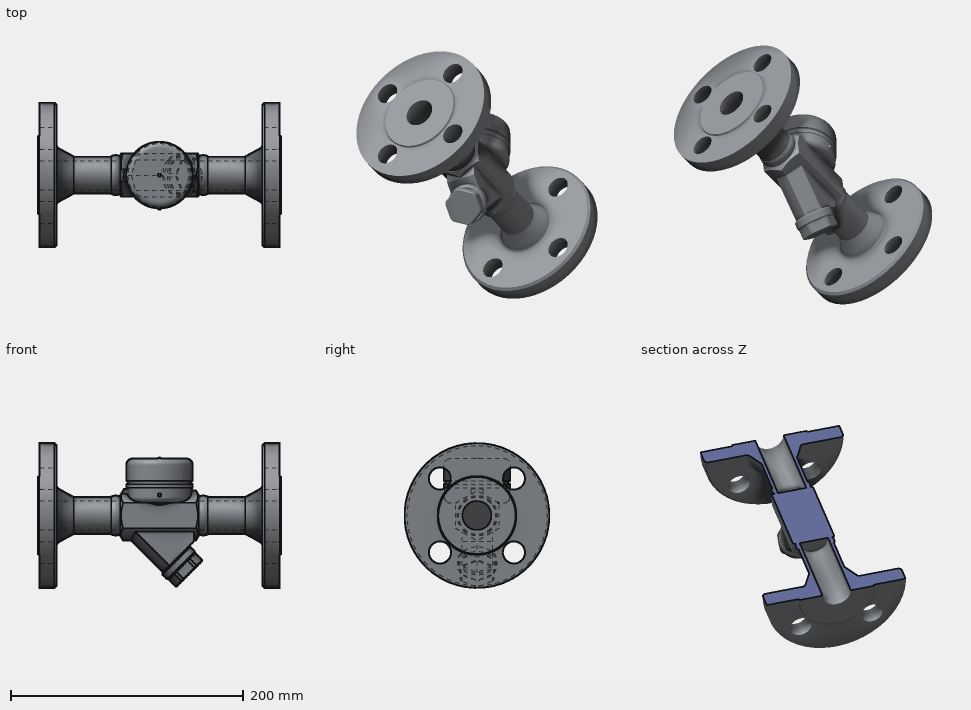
import cadquery as cq
import math

OVERALL_LENGTH = 210.0
FLANGE_DIA = 125.0
RAISED_FACE_DIA = 66.4
RAISED_FACE_BASE_DIA = 68.0
RAISED_FACE_HEIGHT = 1.5
FLANGE_BACK_X = 88.5
FLANGE_CHAMFER = 2.0
NECK_BASE_DIA = 47.9
NECK_END_X = 73.7
NECK_FILLET = 3.0
PIPE_DIA = 32.0
BORE_DIA = 25.0
BOLT_HOLE_DIA = 19.0
BOLT_CIRCLE_DIA = 90.0
BOLT_COUNT = 4

BEAD_DIA = 34.6
BEAD_LENGTH = 7.4
BEAD_EDGE_DIA = 32.8

BLOCK_END_X = 34.0
BLOCK_WIDTH = 37.4
BLOCK_CORNER_RADIUS = BLOCK_WIDTH / math.sqrt(3)
BLOCK_FACE_RADIUS = 17.0
CHAMFER_ANGLE = 60.0

LUG_WIDTH = 10.3
LUG_TOP_Z = 22.9
LUG_FILLET = 2.5

COVER_DIA = 57.5
SEAT_DIA = 56.0
STEM_DIA = 36.5
COVER_TOP_Z = 49.1
COVER_TOP_FILLET = 5.7
GROOVE_TOP_Z = 29.8
GROOVE_BOTTOM_Z = 27.0
GROOVE_DEPTH = 1.5
RING_BOTTOM_Z = 23.7
SEAT_BOTTOM_Z = 11.0
SEAT_FILLET = 5.0
STEM_FILLET = 3.8
NUB_DIA = 3.0
TOP_NUB_Z = 48.5
FRONT_NUB_Y = -28.5
FRONT_NUB_Z = 17.6

LEG_ANGLE = 45.0
LEG_AXIS_OFFSET = 17.2
LEG_HALF_WIDTH = 13.2
LEG_SHOULDER = 7.4
LEG_RIDGE = 15.3
LEG_START = -8.5
LEG_END = 36.8
LEG_SIDE_X = 29.6
LEG_TOP_Z = -6.3

COLLAR_DIA = 34.0
COLLAR_LENGTH = 7.8
COLLAR_CHAMFER = 1.0
PLUG_HEX_WIDTH = 29.5
PLUG_HEX_TURNED_DIA = 32.3
PLUG_HEX_LENGTH = 9.2
PLUG_HEX_CHAMFER = 0.6


def make_flanged_pipe():
    """Flange, welding neck, pipe and weld bead on the -X side, with a blind bore."""
    face_x = -OVERALL_LENGTH / 2
    flange_x = face_x + RAISED_FACE_HEIGHT
    back_x = -FLANGE_BACK_X
    bead_end_x = -BLOCK_END_X
    bead_start_x = bead_end_x - BEAD_LENGTH
    flange_r = FLANGE_DIA / 2
    pipe_r = PIPE_DIA / 2

    pipe = (
        cq.Workplane("XY")
        .moveTo(face_x, 0)
        .lineTo(face_x, RAISED_FACE_DIA / 2)
        .lineTo(flange_x, RAISED_FACE_BASE_DIA / 2)
        .lineTo(flange_x, flange_r)
        .lineTo(back_x - FLANGE_CHAMFER, flange_r)
        .lineTo(back_x, flange_r - FLANGE_CHAMFER)
        .lineTo(back_x, NECK_BASE_DIA / 2)
        .lineTo(-NECK_END_X, pipe_r)
        .lineTo(bead_start_x, pipe_r)
        .lineTo(bead_start_x, BEAD_EDGE_DIA / 2)
        .threePointArc(
            (bead_end_x - BEAD_LENGTH / 2, BEAD_DIA / 2),
            (bead_end_x, BEAD_EDGE_DIA / 2),
        )
        .lineTo(bead_end_x, 0)
        .close()
        .revolve(360, (0, 0, 0), (1, 0, 0))
    )
    pipe = (
        pipe.faces(cq.selectors.NearestToPointSelector((back_x, 0, 0)))
        .edges(cq.selectors.RadiusNthSelector(0))
        .fillet(NECK_FILLET)
    )

    bore = (
        cq.Workplane("YZ", origin=(face_x, 0, 0))
        .circle(BORE_DIA / 2)
        .extrude(bead_end_x - face_x)
    )
    bolt_holes = (
        cq.Workplane("YZ", origin=(face_x, 0, 0))
        .polarArray(BOLT_CIRCLE_DIA / 2, 180 / BOLT_COUNT, 360, BOLT_COUNT)
        .circle(BOLT_HOLE_DIA / 2)
        .extrude(back_x - face_x)
    )
    return pipe.cut(bore).cut(bolt_holes)


def make_hexagon(plane, width, length):
    """Hexagonal bar, width across flats, with one corner on the local X axis of its plane."""
    corner_radius = width / math.sqrt(3)
    corners = [
        (
            corner_radius * math.cos(math.radians(60 * corner)),
            corner_radius * math.sin(math.radians(60 * corner)),
        )
        for corner in range(6)
    ]
    return cq.Workplane(plane).polyline(corners).close().extrude(length)


def make_block():
    """Hexagonal block with its lug, both trimmed by the conical end chamfers."""
    end_plane = cq.Plane(origin=(-BLOCK_END_X, 0, 0), xDir=(0, 0, 1), normal=(1, 0, 0))
    hexagon = make_hexagon(end_plane, BLOCK_WIDTH, 2 * BLOCK_END_X)
    lug = (
        cq.Workplane("XY", origin=(-BLOCK_END_X, 0, 0))
        .box(BLOCK_END_X, LUG_WIDTH, LUG_TOP_Z, centered=(False, True, False))
    )

    trim_radius = LUG_TOP_Z + LUG_WIDTH
    cone_length = (trim_radius - BLOCK_FACE_RADIUS) / math.tan(math.radians(CHAMFER_ANGLE))
    trim = (
        cq.Workplane("XY")
        .polyline(
            [
                (-BLOCK_END_X, 0),
                (-BLOCK_END_X, BLOCK_FACE_RADIUS),
                (-BLOCK_END_X + cone_length, trim_radius),
                (BLOCK_END_X - cone_length, trim_radius),
                (BLOCK_END_X, BLOCK_FACE_RADIUS),
                (BLOCK_END_X, 0),
            ]
        )
        .close()
        .revolve(360, (0, 0, 0), (1, 0, 0))
    )
    return hexagon.union(lug).intersect(trim)


def make_cover():
    """Round cover on its seat and stem, with a small round nub on the top and one at the front."""
    cover_r = COVER_DIA / 2
    seat_r = SEAT_DIA / 2
    stem_r = STEM_DIA / 2
    diagonal = math.sqrt(0.5)
    seat_arc_centre = (seat_r - SEAT_FILLET, SEAT_BOTTOM_Z + SEAT_FILLET)
    stem_arc_centre = (stem_r + STEM_FILLET, SEAT_BOTTOM_Z - STEM_FILLET)
    top_arc_centre = (cover_r - COVER_TOP_FILLET, COVER_TOP_Z - COVER_TOP_FILLET)
    groove_middle_z = (GROOVE_TOP_Z + GROOVE_BOTTOM_Z) / 2

    cover = (
        cq.Workplane("XZ")
        .moveTo(0, 0)
        .lineTo(stem_r, 0)
        .lineTo(stem_r, stem_arc_centre[1])
        .threePointArc(
            (
                stem_arc_centre[0] - STEM_FILLET * diagonal,
                stem_arc_centre[1] + STEM_FILLET * diagonal,
            ),
            (stem_arc_centre[0], SEAT_BOTTOM_Z),
        )
        .lineTo(seat_arc_centre[0], SEAT_BOTTOM_Z)
        .threePointArc(
            (
                seat_arc_centre[0] + SEAT_FILLET * diagonal,
                seat_arc_centre[1] - SEAT_FILLET * diagonal,
            ),
            (seat_r, seat_arc_centre[1]),
        )
        .lineTo(seat_r, RING_BOTTOM_Z)
        .lineTo(cover_r, RING_BOTTOM_Z)
        .lineTo(cover_r, GROOVE_BOTTOM_Z)
        .threePointArc((cover_r - GROOVE_DEPTH, groove_middle_z), (cover_r, GROOVE_TOP_Z))
        .lineTo(cover_r, top_arc_centre[1])
        .threePointArc(
            (
                top_arc_centre[0] + COVER_TOP_FILLET * diagonal,
                top_arc_centre[1] + COVER_TOP_FILLET * diagonal,
            ),
            (top_arc_centre[0], COVER_TOP_Z),
        )
        .lineTo(0, COVER_TOP_Z)
        .close()
        .revolve(360, (0, 0, 0), (0, 1, 0))
    )
    top_nub = cq.Workplane("XY", origin=(0, 0, TOP_NUB_Z)).sphere(NUB_DIA / 2)
    front_nub = cq.Workplane("XY", origin=(0, FRONT_NUB_Y, FRONT_NUB_Z)).sphere(NUB_DIA / 2)
    return cover.union(top_nub).union(front_nub)


def leg_plane(distance):
    """Plane across the leg axis: local X points to the underside of the leg, local Z along it."""
    slope = math.radians(LEG_ANGLE)
    along = (math.cos(slope), 0, -math.sin(slope))
    under = (-math.sin(slope), 0, -math.cos(slope))
    origin = tuple(LEG_AXIS_OFFSET * u + distance * a for u, a in zip(under, along))
    return cq.Plane(origin=origin, xDir=under, normal=along)


def make_leg():
    """Sloping leg with a ridged underside, cut off upright on the +X side."""
    top_reach = 2 * LEG_END
    sloped = (
        cq.Workplane(leg_plane(LEG_START))
        .polyline(
            [
                (-top_reach, -LEG_HALF_WIDTH),
                (LEG_SHOULDER, -LEG_HALF_WIDTH),
                (LEG_RIDGE, 0),
                (LEG_SHOULDER, LEG_HALF_WIDTH),
                (-top_reach, LEG_HALF_WIDTH),
            ]
        )
        .close()
        .extrude(LEG_END - LEG_START)
    )
    reach = OVERALL_LENGTH / 2
    limits = cq.Workplane("XY").box(reach, reach, reach, centered=(False, True, False))
    return sloped.intersect(limits.translate((LEG_SIDE_X - reach, 0, LEG_TOP_Z - reach)))


def fillet_lug(housing):
    """Round the two upright corners where the lug meets the seat."""
    half_width = LUG_WIDTH / 2
    corner_x = -math.sqrt((SEAT_DIA / 2) ** 2 - half_width**2)
    lug_foot_z = BLOCK_CORNER_RADIUS - half_width * math.tan(math.radians(30))
    corner_z = (lug_foot_z + LUG_TOP_Z) / 2
    for side in (-1, 1):
        corner = (corner_x, side * half_width, corner_z)
        housing = housing.edges(cq.selectors.NearestToPointSelector(corner)).fillet(LUG_FILLET)
    return housing


def make_housing():
    """Valve block, cover and leg with a flanged pipe at each end, as one solid."""
    inlet = make_flanged_pipe()
    outlet = inlet.mirror("YZ")
    valve = fillet_lug(make_block().union(make_cover()))
    return valve.union(make_leg()).union(inlet).union(outlet)


def make_plug():
    """Strainer plug: a round collar against the end of the leg and a hexagon head."""
    collar = (
        cq.Workplane(leg_plane(LEG_END))
        .circle(COLLAR_DIA / 2)
        .extrude(COLLAR_LENGTH)
        .edges()
        .chamfer(COLLAR_CHAMFER)
    )
    head_plane = leg_plane(LEG_END + COLLAR_LENGTH)
    hexagon = make_hexagon(head_plane, PLUG_HEX_WIDTH, PLUG_HEX_LENGTH)
    turned = (
        cq.Workplane(head_plane)
        .circle(PLUG_HEX_TURNED_DIA / 2)
        .extrude(PLUG_HEX_LENGTH)
    )
    head = hexagon.intersect(turned)
    end_face = cq.selectors.NearestToPointSelector(
        leg_plane(LEG_END + COLLAR_LENGTH + PLUG_HEX_LENGTH).origin.toTuple()
    )
    head = head.faces(end_face).chamfer(PLUG_HEX_CHAMFER)
    return collar.union(head)


housing = make_housing()
plug = make_plug()

result = cq.Compound.makeCompound([housing.val(), plug.val()])